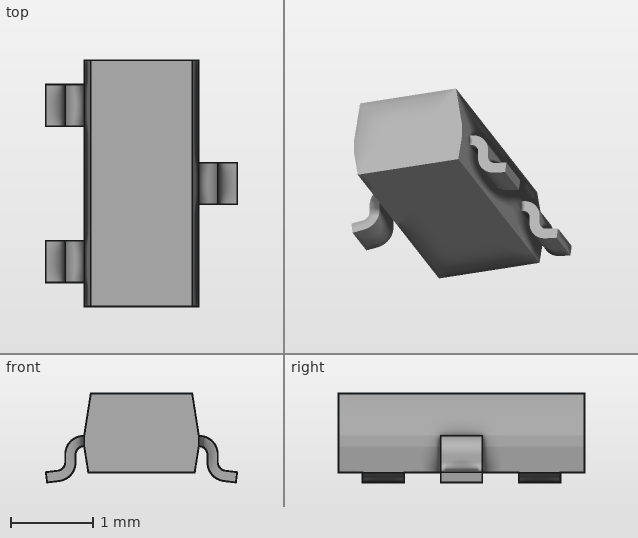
import cadquery as cq
import math

length = 3.0
width = 1.398
height = 0.965
top_inset = 0.08
bottom_inset = 0.05
band_depth = 0.515

lead_width = 0.51
lead_pitch = 0.95
thickness = 0.13
inner_radius = 0.102
outer_radius = inner_radius + thickness
shank_length = 0.093
foot_length = 0.147
foot_tilt = math.radians(7)

shoulder_drop = outer_radius + shank_length
foot_drop = outer_radius * math.cos(foot_tilt) + foot_length * math.sin(foot_tilt)
band_top = shoulder_drop + foot_drop
band_bottom = band_top - thickness
housing_top = band_top + band_depth
housing_bottom = housing_top - height

half_width = width / 2


def make_housing():
    """Eight-sided profile extruded along the full length, centred on Y = 0."""
    half_top = half_width - top_inset
    half_bottom = half_width - bottom_inset
    return (
        cq.Workplane("XZ")
        .moveTo(-half_top, housing_top)
        .lineTo(half_top, housing_top)
        .lineTo(half_width, band_top)
        .lineTo(half_width, band_bottom)
        .lineTo(half_bottom, housing_bottom)
        .lineTo(-half_bottom, housing_bottom)
        .lineTo(-half_width, band_bottom)
        .lineTo(-half_width, band_top)
        .close()
        .extrude(length / 2, both=True)
    )


def make_lead(y):
    """S-bent lead on the +X side, starting flush on the housing's vertical band."""
    upper_z = band_top - outer_radius
    lower_x = half_width + outer_radius + inner_radius
    lower_z = upper_z - shank_length

    def upper_bend(radius, angle):
        return (half_width + radius * math.cos(angle), upper_z + radius * math.sin(angle))

    def lower_bend(radius, angle):
        return (lower_x - radius * math.cos(angle), lower_z - radius * math.sin(angle))

    def foot_tip(radius):
        x, z = lower_bend(radius, foot_start)
        return (x + foot_length * math.cos(foot_tilt), z - foot_length * math.sin(foot_tilt))

    quarter_turn = math.pi / 2
    foot_start = quarter_turn - foot_tilt

    return (
        cq.Workplane("XZ", origin=(0, y, 0))
        .moveTo(half_width, band_top)
        .threePointArc(upper_bend(outer_radius, quarter_turn / 2), upper_bend(outer_radius, 0))
        .lineTo(*lower_bend(inner_radius, 0))
        .threePointArc(lower_bend(inner_radius, foot_start / 2), lower_bend(inner_radius, foot_start))
        .lineTo(*foot_tip(inner_radius))
        .lineTo(*foot_tip(outer_radius))
        .lineTo(*lower_bend(outer_radius, foot_start))
        .threePointArc(lower_bend(outer_radius, foot_start / 2), lower_bend(outer_radius, 0))
        .lineTo(*upper_bend(inner_radius, 0))
        .threePointArc(upper_bend(inner_radius, quarter_turn / 2), (half_width, band_bottom))
        .close()
        .extrude(lead_width / 2, both=True)
    )


housing = make_housing()

leads = [make_lead(0)]
for lead_y in (-lead_pitch, lead_pitch):
    leads.append(make_lead(lead_y).mirror("YZ"))

result = cq.Compound.makeCompound([housing.val(), *[lead.val() for lead in leads]])